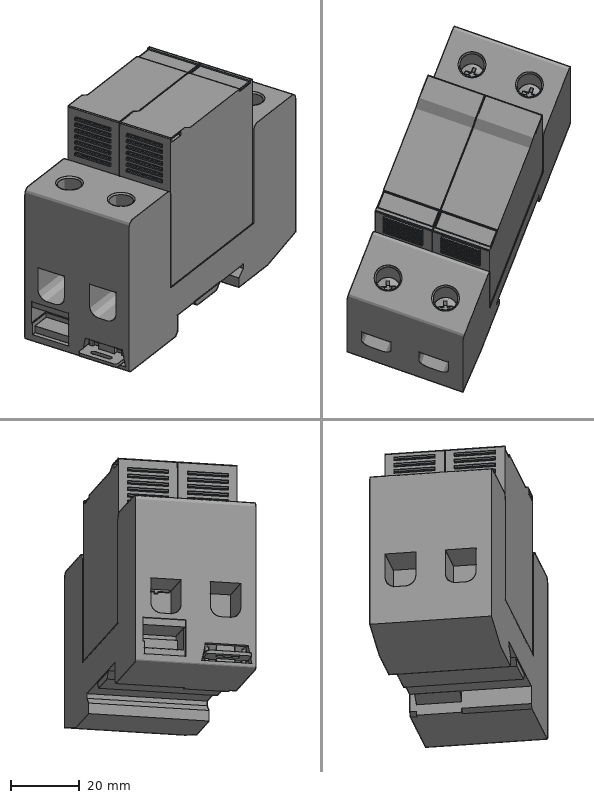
import cadquery as cq
import math


total_length = 93.7
housing_width = 36.0
tab_reach = 3.7
housing_length = total_length - tab_reach
housing_height = 50.5
edge_radius = 2.0
bottom_edge_radius = 0.9
rear_slope_height = 3.8
rear_slope_y = 75.0
pole_x = 8.9
pole_positions = (-pole_x, pole_x)

rail_front_y = 26.3
rail_rear_y = 61.75
rail_depth = 6.65
rail_lip_y = 59.3
rail_lip_height = 3.2
rail_lip_top = 5.25
rail_front_chamfer = 1.2
pad_center_y = 42.5
pad_root_length = 14.15
pad_tip_length = 10.5
pad_drop = 2.1
pad_inset = 0.3

channel_floor = 17.6
module_front_y = 22.9
module_rear_y = 67.2
channel_clearance = 0.3
module_side_inset = 0.3
module_gap = 0.3
module_width = (housing_width - module_gap) / 2 - module_side_inset
module_center_x = (module_gap + module_width) / 2
module_top = 66.0
grip_top = 67.4
grip_ramp_start = 33.5
grip_ramp_end = 30.4
grip_ramp_radius = 1.2
module_edge_chamfer = 0.3

window_y = 26.0
window_length = 3.0
window_floor = 65.8
window_height = 1.0
window_recess_length = 4.9
window_recess_height = 1.1
window_recess_depth = 0.9

label_front_y = 60.25
label_rear_y = 66.0
label_pocket_depth = 0.8
label_thickness = 0.6
label_clearance = 0.3

bar_count = 7
bar_first_z = 52.3
bar_pitch = 2.0
bar_height = 0.9
bar_tip_height = 0.5
bar_straight_reach = 0.5
bar_reach = 0.75
bar_length = 12.1

screw_inset_y = 9.9
screw_hole_diameter = 7.1
screw_rim_chamfer = 0.5
screw_hole_depth = 9.4
screw_dome_height = 1.1
screw_slot_length = 4.9
screw_slot_width = 0.9
screw_funnel_diameter = 6.0
screw_slot_depth = 1.0
screw_socket_width = 2.1
rear_screw_angle = 23.0

entry_width = 9.1
entry_bottom = 15.1
entry_top = 25.5
entry_radius = 3.2
entry_depth = 13.1
stop_width = 8.1
stop_height = 0.6
stop_depth = 0.9
stop_key_width = 1.0

pocket_left = -15.7
pocket_right = -2.9
pocket_floor = 2.5
pocket_top = 13.5
ledge_depth = 1.4
cavity_floor = 4.8
cavity_step = 6.3
cavity_ceiling = 11.4
cavity_middle = 9.7
cavity_step_depth = 7.5
cavity_middle_depth = 9.4
cavity_depth = 11.2
pocket_side_step = 0.4
pocket_lip_setback = 0.5

clip_x = 9.3
clip_width = 13.4
tab_bottom = 2.8
tab_thickness = 1.0
tab_corner_radius = 1.1
tab_slot_length = 7.0
tab_slot_width = 1.5
tab_slot_y = -1.2
clip_opening_bottom = 1.6
clip_opening_top = 6.9
clip_opening_bottom_width = 14.9
clip_opening_top_width = 12.7
clip_opening_depth = 2.8
clip_block_width = 5.4
clip_block_setback = 1.4
clip_post_width = 1.1
clip_post_spacing = 11.1
clip_post_setback = 1.9
clip_roof_low = 4.8
clip_depth = 1.9
clip_nose_y = 29.2
clip_nose_low = 3.3
clip_nose_tip = 5.5
clip_nose_high = 6.1


def box(x_range, y_range, z_range):
    """Axis-aligned box between the given limits."""
    size = [high - low for low, high in (x_range, y_range, z_range)]
    corner = (x_range[0], y_range[0], z_range[0])
    return cq.Workplane("XY").box(*size, centered=False).translate(corner)


def side_prism(points, width, center_x=0.0):
    """Closed (y, z) outline extruded along X about center_x."""
    prism = cq.Workplane("YZ").polyline(points).close().extrude(width / 2, both=True)
    return prism.translate((center_x, 0, 0))


def about(center, length):
    """Limits of a length centred on a position."""
    return center - length / 2, center + length / 2


def make_housing():
    outline = [
        (0, 0),
        (rail_front_y - rail_front_chamfer, 0),
        (rail_front_y, rail_front_chamfer),
        (rail_front_y, rail_depth),
        (rail_rear_y, rail_depth),
        (rail_rear_y, rail_lip_top),
        (rail_lip_y, rail_lip_height),
        (rail_lip_y, 0),
        (rear_slope_y, 0),
        (housing_length, rear_slope_height),
        (housing_length, housing_height),
        (0, housing_height),
    ]
    housing = side_prism(outline, housing_width)
    channel = box(
        about(0, housing_width),
        (module_front_y - channel_clearance, module_rear_y + channel_clearance),
        (channel_floor, housing_height),
    )
    housing = housing.cut(channel)
    housing = housing.faces(">Z").edges("|X").fillet(edge_radius)
    return housing.edges(cq.selectors.NearestToPointSelector((0, 0, 0))).fillet(bottom_edge_radius)


def make_rail_pad():
    root_front, root_rear = about(pad_center_y, pad_root_length)
    tip_front, tip_rear = about(pad_center_y, pad_tip_length)
    outline = [
        (root_front, rail_depth),
        (tip_front, rail_depth - pad_drop),
        (tip_rear, rail_depth - pad_drop),
        (root_rear, rail_depth),
    ]
    return side_prism(outline, housing_width - 2 * pad_inset)


def make_bar(outward):
    """Cooling bar with bevelled edges, reaching out from Y = 0 along +Y (1) or -Y (-1)."""
    outline = [
        (0, -bar_height / 2),
        (outward * bar_straight_reach, -bar_height / 2),
        (outward * bar_reach, -bar_tip_height / 2),
        (outward * bar_reach, bar_tip_height / 2),
        (outward * bar_straight_reach, bar_height / 2),
        (0, bar_height / 2),
    ]
    return side_prism(outline, bar_length)


def make_module():
    """One plug-in module centred on X = 0."""
    outline = [
        (module_front_y, channel_floor),
        (module_rear_y, channel_floor),
        (module_rear_y, module_top),
        (grip_ramp_start, module_top),
        (grip_ramp_end, grip_top),
        (module_front_y, grip_top),
    ]
    module = side_prism(outline, module_width)
    for corner in ((0, grip_ramp_start, module_top), (0, grip_ramp_end, grip_top)):
        module = module.edges(cq.selectors.NearestToPointSelector(corner)).fillet(grip_ramp_radius)
    for corner in ((0, module_front_y, grip_top), (0, module_rear_y, module_top)):
        module = module.edges(cq.selectors.NearestToPointSelector(corner)).chamfer(module_edge_chamfer)

    module_sides = about(0, module_width)
    module = module.cut(
        box(
            module_sides,
            about(window_y, window_length),
            (window_floor, window_floor + window_height),
        )
    )
    recess = box(
        (module_sides[0], module_sides[0] + window_recess_depth),
        about(window_y, window_recess_length),
        (window_floor, window_floor + window_recess_height),
    )
    module = module.cut(recess).cut(recess.mirror("YZ"))

    pocket_bottom = module_top - label_pocket_depth
    module = module.cut(box(module_sides, (label_front_y, label_rear_y), (pocket_bottom, module_top)))
    label = box(
        about(0, module_width - 2 * label_clearance),
        (label_front_y + label_clearance, label_rear_y - label_clearance),
        (pocket_bottom, pocket_bottom + label_thickness),
    )
    module = module.union(label)

    for row in range(bar_count):
        bar_z = bar_first_z + row * bar_pitch
        for face_y, outward in ((module_front_y, -1), (module_rear_y, 1)):
            module = module.union(make_bar(outward).translate((0, face_y, bar_z)))
    return module


def make_screw_hole():
    """Screw access hole with its rim on Z = 0."""
    hole = cq.Workplane("XY").circle(screw_hole_diameter / 2).extrude(-screw_hole_depth)
    rim = (
        cq.Workplane("XY")
        .circle(screw_hole_diameter / 2 + screw_rim_chamfer)
        .workplane(offset=-screw_rim_chamfer)
        .circle(screw_hole_diameter / 2)
        .loft()
    )
    return hole.union(rim)


def make_screw_head(angle):
    """Domed head, its cross slots sloping into a square socket, standing on the floor of the screw hole."""
    head_radius = screw_hole_diameter / 2
    sphere_radius = (head_radius**2 + screw_dome_height**2) / (2 * screw_dome_height)
    mid_angle = math.asin(head_radius / sphere_radius) / 2
    mid_point = (
        sphere_radius * math.sin(mid_angle),
        screw_dome_height - sphere_radius * (1 - math.cos(mid_angle)),
    )
    dome = (
        cq.Workplane("XZ")
        .moveTo(0, 0)
        .lineTo(head_radius, 0)
        .threePointArc(mid_point, (0, screw_dome_height))
        .close()
        .revolve(360, (0, 0, 0), (0, 1, 0))
    )
    slots = (
        cq.Workplane("XY")
        .workplane(offset=screw_dome_height)
        .rect(screw_slot_length, screw_slot_width)
        .extrude(-screw_slot_depth)
    )
    slots = slots.union(slots.rotate((0, 0, 0), (0, 0, 1), 90))
    funnel = (
        cq.Workplane("XY")
        .workplane(offset=screw_dome_height)
        .circle(screw_funnel_diameter / 2)
        .workplane(offset=-screw_slot_depth)
        .circle(screw_socket_width / 2)
        .loft()
    )
    socket = (
        cq.Workplane("XY")
        .workplane(offset=screw_dome_height)
        .polygon(4, screw_socket_width)
        .extrude(-screw_slot_depth)
    )
    head = dome.cut(slots.intersect(funnel)).cut(socket).rotate((0, 0, 0), (0, 0, 1), angle)
    return head.translate((0, 0, -screw_hole_depth))


def make_wire_entry(x):
    """Wire entry running back from the front face."""
    entry = box(about(x, entry_width), (0, entry_depth), (entry_bottom, entry_top))
    return entry.faces("<Z").edges("|Y").fillet(entry_radius)


def make_wire_stop():
    """Keyed stop under the roof of the left wire entry, at its far end."""
    depth_range = (entry_depth - stop_depth, entry_depth)
    plate = box(about(-pole_x, stop_width), depth_range, (entry_top - stop_height, entry_top))
    key = box(about(-pole_x, stop_key_width), depth_range, (entry_top - 2 * stop_height, entry_top))
    return plate.union(key)


def make_connector_pocket():
    lower_left = pocket_left + pocket_side_step
    cavity_right = pocket_right - pocket_side_step
    pocket = box((lower_left, pocket_right), (0, ledge_depth), (pocket_floor, cavity_step))
    parts = [
        box((pocket_left, pocket_right), (0, ledge_depth), (cavity_step, cavity_ceiling)),
        box((pocket_left, pocket_right), (0, pocket_lip_setback), (cavity_ceiling, pocket_top)),
        box((lower_left, cavity_right), (0, cavity_step_depth), (cavity_floor, cavity_step)),
        box((pocket_left, cavity_right), (0, cavity_middle_depth), (cavity_step, cavity_middle)),
        box((pocket_left, cavity_right), (0, cavity_depth), (cavity_middle, cavity_ceiling)),
    ]
    for part in parts:
        pocket = pocket.union(part)
    return pocket


def make_clip_opening():
    bottom_left, bottom_right = about(clip_x, clip_opening_bottom_width)
    top_left, top_right = about(clip_x, clip_opening_top_width)
    outline = [
        (bottom_left, clip_opening_bottom),
        (bottom_right, clip_opening_bottom),
        (top_right, clip_opening_top),
        (top_left, clip_opening_top),
    ]
    return cq.Workplane("XZ").polyline(outline).close().extrude(-clip_opening_depth)


def make_clip():
    tab = box(
        about(clip_x, clip_width),
        (-tab_reach, clip_opening_depth),
        (tab_bottom, tab_bottom + tab_thickness),
    )
    tab = tab.faces("<Y").edges("|Z").fillet(tab_corner_radius)
    slot = (
        cq.Workplane("XY")
        .center(clip_x, tab_slot_y)
        .slot2D(tab_slot_length, tab_slot_width)
        .extrude(housing_height)
    )
    clip = tab.cut(slot)

    opening_height = (clip_opening_bottom, clip_opening_top)
    block_y = (clip_block_setback, clip_opening_depth)
    clip = clip.union(box(about(clip_x, clip_block_width), block_y, opening_height))
    post_y = (clip_post_setback, clip_opening_depth)
    for post_x in about(clip_x, clip_post_spacing):
        clip = clip.union(box(about(post_x, clip_post_width), post_y, opening_height))

    roof_outline = [
        (clip_block_setback, clip_opening_top),
        (clip_opening_depth, clip_opening_top),
        (clip_opening_depth, clip_roof_low),
    ]
    clip = clip.union(side_prism(roof_outline, clip_post_spacing, clip_x))

    nose_outline = [
        (rail_front_y - clip_depth, 0),
        (rail_front_y, 0),
        (rail_front_y, clip_nose_low),
        (clip_nose_y, clip_nose_tip),
        (rail_front_y, clip_nose_high),
        (rail_front_y - clip_depth, clip_nose_high),
    ]
    return clip.union(side_prism(nose_outline, clip_width, clip_x))


result = make_housing().union(make_rail_pad())

for x in pole_positions:
    result = result.union(make_module().translate((math.copysign(module_center_x, x), 0, 0)))

    front_entry = make_wire_entry(x)
    rear_entry = front_entry.mirror("XZ").translate((0, housing_length, 0))
    result = result.cut(front_entry).cut(rear_entry)
    for y, angle in ((screw_inset_y, 0), (housing_length - screw_inset_y, rear_screw_angle)):
        screw_position = (x, y, housing_height)
        result = result.cut(make_screw_hole().translate(screw_position))
        result = result.union(make_screw_head(angle).translate(screw_position))

result = result.union(make_wire_stop())
result = result.cut(make_connector_pocket())
result = result.cut(make_clip_opening()).union(make_clip())